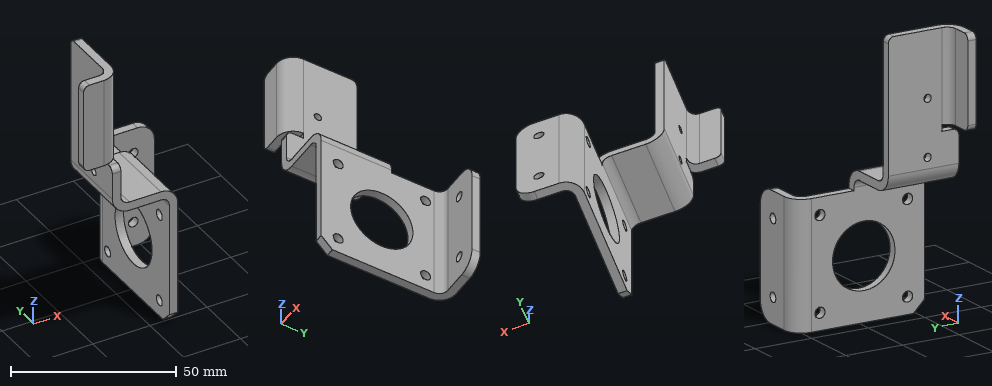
import cadquery as cq

thickness = 3.0
bend_inner = 3.0
bend_outer = bend_inner + thickness

total_length = 50.0
total_width = 46.0
total_height = 96.5

upper_web_x = 10.0
lower_web_x = 30.0
shelf_bottom_z = 46.5
narrow_width = 25.0
lower_height = 42.5
lower_chamfer = 4.0
small_radius = 2.0

upper_flange_bottom = 65.6
relief_height = 2.0

lower_flange_radius = 6.0
flange_hole_diameter = 3.3
flange_hole_x = 42.6
flange_hole_spacing = 25.0

motor_y = 21.5
motor_z = lower_height / 2
motor_bore = 22.0
motor_hole_diameter = 3.5
motor_hole_spacing = 31.0

upper_hole_diameter = 2.5
upper_hole_y = 11.1
upper_hole_heights = (56.2, 74.9)



def box(x_range, y_range, z_range):
    """Box spanning the given (low, high) ranges."""
    lows, highs = zip(x_range, y_range, z_range)
    sizes = [high - low for low, high in zip(lows, highs)]
    return cq.Workplane("XY").box(*sizes, centered=False).translate(lows)


def x_holes(points, diameter):
    """Cutters along X through the whole part at the given (Y, Z) points."""
    return cq.Workplane("YZ").pushPoints(points).circle(diameter / 2).extrude(total_length)


def round_bend(sheet, edge_direction, outer_point, inner_point):
    """Round both sides of the bend whose sharp corners pass through the two points."""
    for point, radius in ((outer_point, bend_outer), (inner_point, bend_inner)):
        edge = sheet.edges(edge_direction).edges(cq.selectors.NearestToPointSelector(point))
        sheet = edge.fillet(radius)
    return sheet


def make_stepped_plate():
    """Upper web, horizontal shelf and narrow lower web, bent from one strip."""
    upper_right = upper_web_x + thickness
    lower_right = lower_web_x + thickness
    shelf_top_z = shelf_bottom_z + thickness
    middle_y = narrow_width / 2
    strip = (
        cq.Workplane("XZ")
        .moveTo(upper_web_x, total_height)
        .lineTo(upper_right, total_height)
        .lineTo(upper_right, shelf_top_z)
        .lineTo(lower_right, shelf_top_z)
        .lineTo(lower_right, 0)
        .lineTo(lower_web_x, 0)
        .lineTo(lower_web_x, shelf_bottom_z)
        .lineTo(upper_web_x, shelf_bottom_z)
        .close()
        .extrude(-narrow_width)
    )
    strip = round_bend(
        strip, "|Y",
        (upper_web_x, middle_y, shelf_bottom_z), (upper_right, middle_y, shelf_top_z),
    )
    strip = round_bend(
        strip, "|Y",
        (lower_right, middle_y, shelf_top_z), (lower_web_x, middle_y, shelf_bottom_z),
    )
    relief = box(
        (0, total_length),
        (0, bend_outer),
        (upper_flange_bottom - relief_height, total_height),
    )
    strip = strip.cut(relief)
    strip = strip.edges("|X").edges(">Z").edges(">Y").fillet(small_radius)
    relief_corner = (upper_web_x + thickness / 2, 0, upper_flange_bottom - relief_height)
    strip = strip.edges(cq.selectors.NearestToPointSelector(relief_corner)).fillet(small_radius)
    return strip.edges("|X").edges("<Z").edges("<Y").chamfer(lower_chamfer)


def make_upper_flange():
    """Flange along the top of the upper web, bent toward -X."""
    right = upper_web_x + thickness
    z_range = (upper_flange_bottom, total_height)
    middle_z = sum(z_range) / 2
    flange = box((0, right), (0, thickness), z_range)
    flange = flange.union(box((upper_web_x, right), (0, 2 * bend_outer), z_range))
    flange = flange.edges("|Y").edges("<X").fillet(small_radius)
    return round_bend(flange, "|Z", (right, 0, middle_z), (upper_web_x, thickness, middle_z))


def make_lower_flange():
    """Wide part of the lower web with the flange bent toward +X."""
    web_right = lower_web_x + thickness
    flange_y = total_width - thickness
    z_range = (0, lower_height)
    web = box((lower_web_x, web_right), (narrow_width, total_width), z_range)
    flange = web.union(box((lower_web_x, total_length), (flange_y, total_width), z_range))
    flange = flange.edges("|Y").edges(">X").fillet(lower_flange_radius)
    flange = round_bend(
        flange, "|Z", (lower_web_x, total_width, motor_z), (web_right, flange_y, motor_z)
    )
    holes = (
        cq.Workplane("XZ")
        .center(flange_hole_x, motor_z)
        .rarray(1, flange_hole_spacing, 1, 2)
        .circle(flange_hole_diameter / 2)
        .extrude(-total_width)
    )
    return flange.cut(holes)


def make_web_holes():
    """Motor bore with its four screw holes, and the two upper web holes."""
    half_spacing = motor_hole_spacing / 2
    motor_points = [
        (motor_y + side_y * half_spacing, motor_z + side_z * half_spacing)
        for side_y in (-1, 1)
        for side_z in (-1, 1)
    ]
    upper_points = [(upper_hole_y, height) for height in upper_hole_heights]
    bore = x_holes([(motor_y, motor_z)], motor_bore)
    screws = x_holes(motor_points, motor_hole_diameter)
    return bore.union(screws).union(x_holes(upper_points, upper_hole_diameter))


result = (
    make_stepped_plate()
    .union(make_upper_flange())
    .union(make_lower_flange())
    .cut(make_web_holes())
    .clean()
)